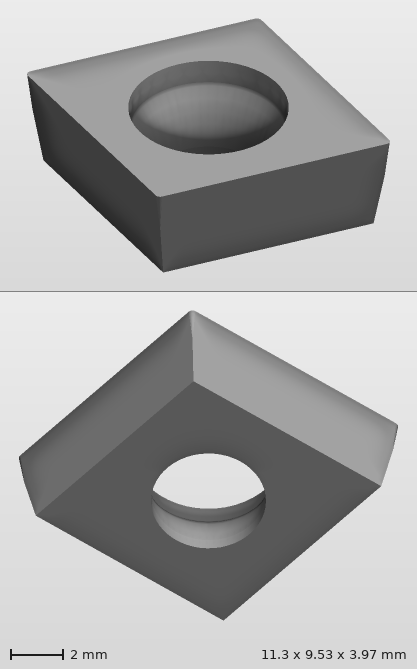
import cadquery as cq
import math

inscribed_diameter = 9.525
thickness = 3.97
acute_angle = 80.0
clearance_angle = 7.0
nose_radius = 0.2

bore_diameter = 4.4
recess_diameter = 6.15
recess_depth = 1.02
recess_wall_angle = 4.5
recess_fillet_radius = 0.25
seat_arc_radius = 4.0

clearance_slope = math.tan(math.radians(clearance_angle))
nose_depth = nose_radius / clearance_slope


def rhombus_corners(inset):
    """Corners of the rhombus whose sides lie `inset` inside the top outline, anticlockwise."""
    half_width = inscribed_diameter / 2 - inset
    acute = math.radians(acute_angle)
    half_side = half_width / math.sin(acute)
    lean = half_width / math.tan(acute)
    return [
        (-half_side - lean, -half_width),
        (half_side - lean, -half_width),
        (half_side + lean, half_width),
        (-half_side + lean, half_width),
    ]


def sharp_body():
    """Rhombic block with sharp corners, tapered from the top face down."""
    top_outline = cq.Workplane("XY", origin=(0, 0, thickness)).polyline(rhombus_corners(0)).close()
    return top_outline.extrude(-thickness, taper=clearance_angle)


def pyramid(base_points, apex):
    """Pyramid on a horizontal base polygon; both are given as XYZ points."""
    faces = [cq.Face.makeFromWires(cq.Wire.makePolygon(base_points, close=True))]
    for start, end in zip(base_points, base_points[1:] + base_points[:1]):
        side = cq.Wire.makePolygon([start, end, apex], close=True)
        faces.append(cq.Face.makeFromWires(side))
    return cq.Solid.makeSolid(cq.Shell.makeShell(faces))


def round_nose(body, index):
    """Replace one sharp corner by a cone sector that runs out to a point on the corner edge."""
    center_x, center_y = rhombus_corners(nose_radius)[index]
    corner_x, corner_y = rhombus_corners(0)[index]
    corner_angle = acute_angle if index % 2 == 0 else 180 - acute_angle
    sector_angle = 180 - corner_angle
    outward_angle = math.degrees(math.atan2(corner_y - center_y, corner_x - center_x))
    first_angle = outward_angle - sector_angle / 2

    def tangent_point(angle):
        x = center_x + nose_radius * math.cos(math.radians(angle))
        y = center_y + nose_radius * math.sin(math.radians(angle))
        return cq.Vector(x, y, thickness)

    center = cq.Vector(center_x, center_y, thickness)
    corner = cq.Vector(corner_x, corner_y, thickness)
    apex = cq.Vector(center_x, center_y, thickness - nose_depth)
    kite = [center, tangent_point(first_angle), corner, tangent_point(first_angle + sector_angle)]
    cone_plane = cq.Plane(origin=apex, xDir=kite[1] - center, normal=(0, 0, 1))
    cone_sector = (
        cq.Workplane("XZ")
        .polyline([(0, 0), (nose_radius, nose_depth), (0, nose_depth)])
        .close()
        .revolve(sector_angle, (0, 0, 0), (0, 1, 0))
        .val()
        .moved(cq.Location(cone_plane))
    )
    return body.cut(cq.Workplane(pyramid(kite, apex))).union(cq.Workplane(cone_sector))


def screw_hole():
    """Conical recess, trumpet-shaped screw seat and through bore, revolved about Z."""
    bore_radius = bore_diameter / 2
    recess_radius = recess_diameter / 2
    seat_radius = recess_radius - recess_depth * math.tan(math.radians(recess_wall_angle))
    seat_top = thickness - recess_depth
    seat_angle = math.acos(1 - (seat_radius - bore_radius) / seat_arc_radius)
    seat_bottom = seat_top - seat_arc_radius * math.sin(seat_angle)
    seat_middle = (
        bore_radius + seat_arc_radius * (1 - math.cos(seat_angle / 2)),
        seat_bottom + seat_arc_radius * math.sin(seat_angle / 2),
    )
    hole = (
        cq.Workplane("XZ")
        .moveTo(0, 0)
        .lineTo(bore_radius, 0)
        .lineTo(bore_radius, seat_bottom)
        .threePointArc(seat_middle, (seat_radius, seat_top))
        .lineTo(recess_radius, thickness)
        .lineTo(0, thickness)
        .close()
        .revolve(360, (0, 0, 0), (0, 1, 0))
    )
    seat_rim = hole.edges("%CIRCLE").edges(cq.selectors.RadiusNthSelector(1))
    return seat_rim.fillet(recess_fillet_radius)


result = sharp_body()
for corner_index in range(4):
    result = round_nose(result, corner_index)
result = result.cut(screw_hole())